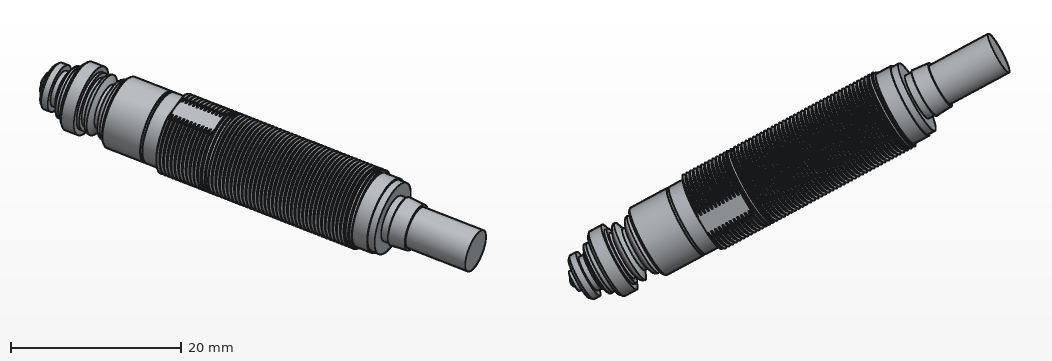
import cadquery as cq
import math

total_length = 57.8

pin_start = 0.45
dome_radius = 0.8
pin_radius = 1.35

collar_start = 1.15
collar_end = 2.35
collar_radius = 2.95
collar_chamfer = 0.35
neck_radius = 2.25

hub_start = 3.05
hub_start_radius = 2.4
hub_step = 3.4
hub_step_front_radius = 2.65
hub_step_radius = 3.0
hub_lip_start = 3.6
hub_lip_end = 3.95
hub_lip_radius = 3.3
hub_radius = 3.25

flange_start = 4.55
flange_end = 6.6
flange_radius = 4.35
flange_chamfer = 0.35
flange_step_end = 6.95
flange_step_radius = 3.65

bellows_root_radius = 2.8
bellows_shoulder_radius = 3.6
bellows_crest_radius = 3.8
bellows_rise_width = 0.35
bellows_crest_width = 0.45
bellows_fall_width = 0.45
bellows_lead_in_radius = 3.05
bellows_start = 7.2
bellows_pitch = 1.75
bellows_rib_count = 2

body_start = 10.3
body_end = 17.75
body_radius = 4.5
body_chamfer = 0.25
groove_start = 15.5
groove_width = 0.3
groove_depth = 0.1

thread_end = 43.85
thread_diameter = 10.0
thread_root_diameter = 9.3
thread_radius = thread_diameter / 2
thread_root_radius = thread_root_diameter / 2
thread_pitch = 0.5
thread_crest_width = thread_pitch / 8
thread_root_width = thread_pitch / 4
spare_turns = 2
flats_end = 23.7
flat_height = body_radius

runout_radius = 4.85
runout_width = 1.05

rear_collar_end = 45.85
rear_collar_radius = 4.7
rear_step_end = 46.75
rear_step_radius = 4.5

sleeve_neck_end = 47.75
sleeve_neck_radius = 2.9
sleeve_end = 49.9
sleeve_radius = 3.05
sleeve_end_radius = 2.9
cable_radius = 2.6


def level_arc_middle(top_along, top_across, run, rise):
    """Middle point of an arc that is level at its top point and ends run and rise away from it."""
    half_angle = math.atan2(abs(rise), abs(run))
    arc_radius = (run**2 + rise**2) / (2 * abs(rise))
    along = math.copysign(arc_radius * math.sin(half_angle), run)
    across = math.copysign(arc_radius * (1 - math.cos(half_angle)), rise)
    return top_along + along, top_across + across


def turned_outline():
    """Half section of all turned features, from the tip to the cable end."""
    outline = cq.Workplane("XZ").moveTo(0, 0)

    dome_mid_radius, dome_mid = level_arc_middle(0, 0, dome_radius, pin_start)
    outline = outline.threePointArc((dome_mid, dome_mid_radius), (pin_start, dome_radius))

    outline = (
        outline.lineTo(pin_start, pin_radius)
        .lineTo(collar_start, pin_radius)
        .lineTo(collar_start, collar_radius - collar_chamfer)
        .lineTo(collar_start + collar_chamfer, collar_radius)
        .lineTo(collar_end, collar_radius)
        .lineTo(collar_end, neck_radius)
        .lineTo(hub_start, neck_radius)
        .lineTo(hub_start, hub_start_radius)
        .lineTo(hub_step, hub_step_front_radius)
        .lineTo(hub_step, hub_step_radius)
        .lineTo(hub_lip_start, hub_lip_radius)
        .lineTo(hub_lip_end, hub_lip_radius)
        .lineTo(hub_lip_end, hub_radius)
        .lineTo(flange_start, hub_radius)
        .lineTo(flange_start, flange_radius - flange_chamfer)
        .lineTo(flange_start + flange_chamfer, flange_radius)
        .lineTo(flange_end, flange_radius)
        .lineTo(flange_end, flange_step_radius)
        .lineTo(flange_step_end, flange_step_radius)
        .lineTo(flange_step_end, bellows_lead_in_radius)
    )

    for rib in range(bellows_rib_count):
        foot = bellows_start + rib * bellows_pitch
        shoulder = foot + bellows_rise_width
        crest_end = shoulder + bellows_crest_width
        crest_mid = level_arc_middle(
            crest_end,
            bellows_crest_radius,
            -bellows_crest_width,
            bellows_shoulder_radius - bellows_crest_radius,
        )
        outline = (
            outline.lineTo(foot, bellows_root_radius)
            .lineTo(shoulder, bellows_shoulder_radius)
            .threePointArc(crest_mid, (crest_end, bellows_crest_radius))
            .lineTo(crest_end + bellows_fall_width, bellows_root_radius)
        )

    return (
        outline.lineTo(body_start, bellows_root_radius)
        .lineTo(body_start, body_radius - body_chamfer)
        .lineTo(body_start + body_chamfer, body_radius)
        .lineTo(groove_start, body_radius)
        .lineTo(groove_start, body_radius - groove_depth)
        .lineTo(groove_start + groove_width, body_radius - groove_depth)
        .lineTo(groove_start + groove_width, body_radius)
        .lineTo(body_end, body_radius)
        .lineTo(flats_end, body_radius)
        .lineTo(flats_end, runout_radius)
        .lineTo(flats_end + runout_width, runout_radius)
        .lineTo(flats_end + runout_width, thread_root_radius)
        .lineTo(thread_end - runout_width, thread_root_radius)
        .lineTo(thread_end - runout_width, runout_radius)
        .lineTo(thread_end, runout_radius)
        .lineTo(thread_end, rear_collar_radius)
        .lineTo(rear_collar_end, rear_collar_radius)
        .lineTo(rear_collar_end, rear_step_radius)
        .lineTo(rear_step_end, rear_step_radius)
        .lineTo(rear_step_end, sleeve_neck_radius)
        .lineTo(sleeve_neck_end, sleeve_neck_radius)
        .lineTo(sleeve_neck_end, sleeve_radius)
        .lineTo(sleeve_end, sleeve_end_radius)
        .lineTo(sleeve_end, cable_radius)
        .lineTo(total_length, cable_radius)
        .lineTo(total_length, 0)
        .close()
    )


def threaded_rod(start, end):
    """Right-hand threaded rod from start to end, built turn by turn and trimmed square."""
    flank_width = (thread_pitch - thread_root_width - thread_crest_width) / 2
    tooth = [
        (0, thread_root_radius),
        (thread_root_width, thread_root_radius),
        (thread_root_width + flank_width, thread_radius),
        (thread_root_width + flank_width + thread_crest_width, thread_radius),
        (thread_pitch, thread_root_radius),
    ]
    turns = math.ceil((end - start) / thread_pitch) + 2 * spare_turns
    rod_length = turns * thread_pitch

    def helix_turn(offset, radius):
        wire = cq.Wire.makeHelix(thread_pitch, thread_pitch, radius)
        return wire.translate(cq.Vector(0, 0, offset)).Edges()[0]

    faces = []
    for turn in range(turns):
        base = turn * thread_pitch
        for (near, near_radius), (far, far_radius) in zip(tooth, tooth[1:]):
            near_edge = helix_turn(base + near, near_radius)
            far_edge = helix_turn(base + far, far_radius)
            faces.append(cq.Face.makeRuledSurface(near_edge, far_edge))

    for cap in (0, rod_length):
        axis = cq.Edge.makeLine(cq.Vector(0, 0, cap), cq.Vector(0, 0, cap + thread_pitch))
        faces.append(cq.Face.makeRuledSurface(axis, helix_turn(cap, thread_root_radius)))

    section = [cq.Vector(radius, 0, offset) for offset, radius in tooth]
    section += [cq.Vector(0, 0, thread_pitch), cq.Vector(0, 0, 0)]
    section_face = cq.Face.makeFromWires(cq.Wire.makePolygon(section, close=True))
    faces += [section_face, section_face.translate(cq.Vector(0, 0, rod_length))]
    rod = cq.Solid.makeSolid(cq.Shell.makeShell(faces))
    rod = cq.Workplane(obj=rod).rotate((0, 0, 0), (0, 1, 0), 90)
    rod = rod.translate((start - spare_turns * thread_pitch, 0, 0))
    trim = cq.Workplane("YZ", origin=(start, 0, 0)).circle(2 * thread_radius).extrude(end - start)
    return rod.intersect(trim)


def flat_cutter(side):
    """Block that trims one flat; side is +1 for the top and -1 for the bottom."""
    block_height = 2 * (thread_radius - flat_height)
    return (
        cq.Workplane("XY")
        .box(flats_end - body_end, 2 * thread_radius, block_height)
        .translate(((body_end + flats_end) / 2, 0, side * (flat_height + block_height / 2)))
    )


front_thread = threaded_rod(body_end, flats_end)
for side in (1, -1):
    front_thread = front_thread.cut(flat_cutter(side))
rear_thread = threaded_rod(flats_end, thread_end)

result = turned_outline().revolve(360, (0, 0, 0), (1, 0, 0))
result = result.union(front_thread).union(rear_thread)